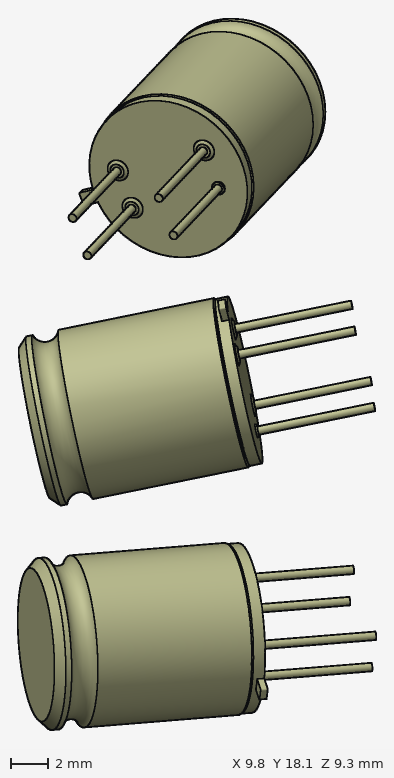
import cadquery as cq
import math

total_length = 18.05
lead_length = 6.5
can_top = total_length - lead_length

can_radius = 4.648
rim_chamfer = 0.5
groove_top = can_top - 0.83
groove_bottom = can_top - 2.27
groove_depth = 0.5

base_radius = 4.58
base_thickness = 0.65
neck_radius = 4.17
neck_height = 0.1
can_bottom = base_thickness + neck_height

tab_angle = 202.5
tab_reach = 5.45
tab_width = 0.75
tab_thickness = 0.4
tab_corner_radius = 0.09

lead_radius = 0.23
lead_circle_radius = 2.92
insulated_lead_angles = (45, 180, 225)
ground_lead_angle = 0
bead_radius = 0.6
bead_tip_radius = 0.4
collar_radius = 0.36
protrusion = 0.1


def cylinder(radius, start, end, x=0, z=0):
    """Cylinder along Y between two Y positions."""
    direction = cq.Vector(0, 1, 0)
    solid = cq.Solid.makeCylinder(radius, end - start, cq.Vector(x, start, z), direction)
    return cq.Workplane(obj=solid)


def lead_position(angle):
    """X and Z of a lead at an angle measured from +X toward +Z."""
    radians = math.radians(angle)
    return lead_circle_radius * math.cos(radians), lead_circle_radius * math.sin(radians)


def make_can():
    """Turned can with a chamfered rim and a rounded groove under it."""
    groove_middle = (groove_top + groove_bottom) / 2
    return (
        cq.Workplane("XY")
        .moveTo(0, can_bottom)
        .lineTo(can_radius, can_bottom)
        .lineTo(can_radius, groove_bottom)
        .threePointArc((can_radius - groove_depth, groove_middle), (can_radius, groove_top))
        .lineTo(can_radius, can_top - rim_chamfer)
        .lineTo(can_radius - rim_chamfer, can_top)
        .lineTo(0, can_top)
        .close()
        .revolve(360, (0, 0, 0), (0, 1, 0))
    )


def make_tab():
    """Flat radial tab with rounded outer corners, flush with the outer face."""
    return (
        cq.Workplane("XY")
        .box(tab_reach, tab_thickness, tab_width, centered=(False, False, True))
        .edges("|Y and >X")
        .fillet(tab_corner_radius)
        .rotate((0, 0, 0), (0, 1, 0), -tab_angle)
    )


def make_base():
    """Disc with a neck up to the can, a tab, and a through hole for each bead and lead."""
    base = cylinder(base_radius, 0, base_thickness)
    base = base.union(cylinder(neck_radius, base_thickness, can_bottom))
    base = base.union(make_tab())
    for angle in insulated_lead_angles:
        base = base.cut(cylinder(bead_radius, 0, can_bottom, *lead_position(angle)))
    return base.cut(cylinder(lead_radius, 0, can_bottom, *lead_position(ground_lead_angle)))


def make_bead(angle):
    """Glass bead filling its hole, with a tapered end outside and a bore for the lead."""
    x, z = lead_position(angle)
    bead = (
        cq.Workplane("XY")
        .moveTo(lead_radius, can_bottom)
        .lineTo(bead_radius, can_bottom)
        .lineTo(bead_radius, 0)
        .lineTo(bead_tip_radius, -protrusion)
        .lineTo(lead_radius, -protrusion)
        .close()
        .revolve(360, (0, 0, 0), (0, 1, 0))
    )
    return bead.translate((x, 0, z))


def make_lead(angle):
    """Straight round lead running from its tip to the underside of the can."""
    return cylinder(lead_radius, -lead_length, can_bottom, *lead_position(angle))


def make_ground_lead():
    """Lead with a small collar seated on the outer face of the base."""
    collar = cylinder(collar_radius, -protrusion, 0, *lead_position(ground_lead_angle))
    return make_lead(ground_lead_angle).union(collar)


can = make_can()
base = make_base()
beads = [make_bead(angle).val() for angle in insulated_lead_angles]
leads = [make_lead(angle).val() for angle in insulated_lead_angles]
ground_lead = make_ground_lead()

result = cq.Compound.makeCompound([can.val(), base.val(), *beads, *leads, ground_lead.val()])